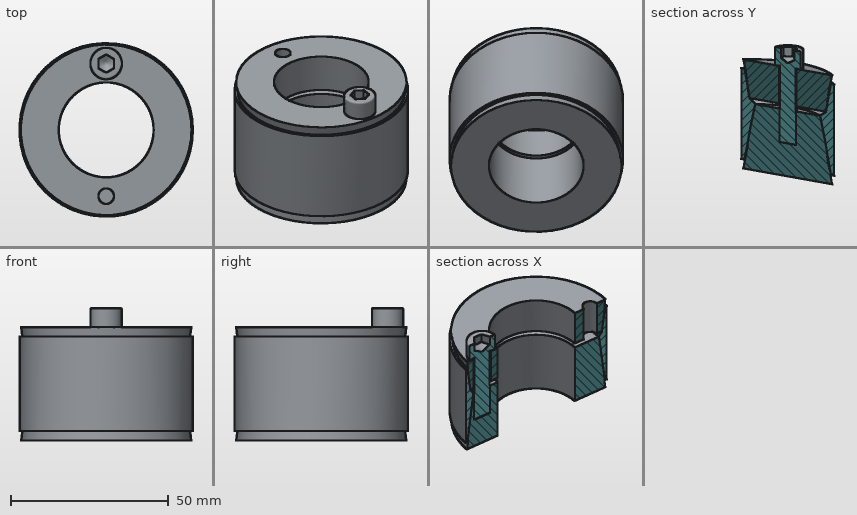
import cadquery as cq
import math

total_height = 36.0
bore_radius = 30.0 / 2

sleeve_radius = 55.0 / 2
ring_projection = 3.0
sleeve_bottom = ring_projection
sleeve_top = total_height - ring_projection

ring_rim_radius = 54.0 / 2
taper_angle = 7.0
taper_slope = math.tan(math.radians(taper_angle))
lower_ring_height = 22.0
ring_gap = 1.5
upper_ring_bottom = lower_ring_height + ring_gap

hole_offset = 21.0
clearance_diameter = 6.6
jacking_hole_diameter = 4.92
screw_diameter = 6.0
screw_length = 25.0
screw_tip = total_height - screw_length
head_diameter = 10.0
head_height = 6.0
head_top = total_height + head_height
head_fillet = 0.6
socket_width = 5.0
socket_corner_diameter = socket_width / math.cos(math.radians(30))
socket_depth = 3.0
socket_tip_angle = 120.0
socket_tip_depth = socket_corner_diameter / 2 / math.tan(math.radians(socket_tip_angle / 2))


def ring_radius(distance_from_rim):
    """Outer radius of a tapered ring, shrinking away from its exposed rim."""
    return ring_rim_radius - taper_slope * distance_from_rim


def lower_radius(z):
    """Outer radius of the lower ring at height z."""
    return ring_radius(z)


def upper_radius(z):
    """Outer radius of the upper ring at height z."""
    return ring_radius(total_height - z)


def revolve_profile(points):
    """Solid of revolution about Z from a closed (radius, z) outline."""
    return cq.Workplane("XZ").polyline(points).close().revolve(360, (0, 0, 0), (0, 1, 0))


def cylinder_at(y, diameter, bottom, top):
    """Vertical cylinder on the Y axis of the plan."""
    return cq.Workplane("XY", origin=(0, y, bottom)).circle(diameter / 2).extrude(top - bottom)


def make_sleeve():
    """Thin sleeve whose bore narrows from both ends to seat the tapered rings."""
    return revolve_profile([
        (sleeve_radius, sleeve_bottom),
        (sleeve_radius, sleeve_top),
        (upper_radius(sleeve_top), sleeve_top),
        (upper_radius(upper_ring_bottom), upper_ring_bottom),
        (lower_radius(lower_ring_height), lower_ring_height),
        (lower_radius(sleeve_bottom), sleeve_bottom),
    ])


def make_lower_ring():
    """Lower tapered ring with a blind hole that holds the screw's end."""
    ring = revolve_profile([
        (bore_radius, 0),
        (lower_radius(0), 0),
        (lower_radius(lower_ring_height), lower_ring_height),
        (bore_radius, lower_ring_height),
    ])
    return ring.cut(cylinder_at(hole_offset, screw_diameter, screw_tip, lower_ring_height))


def make_upper_ring():
    """Upper tapered ring with the screw clearance hole and the opposite jacking hole."""
    ring = revolve_profile([
        (bore_radius, upper_ring_bottom),
        (upper_radius(upper_ring_bottom), upper_ring_bottom),
        (upper_radius(total_height), total_height),
        (bore_radius, total_height),
    ])
    clearance_hole = cylinder_at(hole_offset, clearance_diameter, upper_ring_bottom, total_height)
    jacking_hole = cylinder_at(-hole_offset, jacking_hole_diameter, upper_ring_bottom, total_height)
    return ring.cut(clearance_hole).cut(jacking_hole)


def make_socket():
    """Hexagonal socket with corners toward +Y and -Y and a conical floor."""
    full_depth = socket_depth + socket_tip_depth
    hexagon = (
        cq.Workplane("XY", origin=(0, hole_offset, head_top))
        .transformed(rotate=(0, 0, 90))
        .polygon(6, socket_corner_diameter)
        .extrude(-full_depth)
    )
    pointed_cylinder = revolve_profile([
        (0, head_top),
        (socket_corner_diameter / 2, head_top),
        (socket_corner_diameter / 2, head_top - socket_depth),
        (0, head_top - full_depth),
    ]).translate((0, hole_offset, 0))
    return hexagon.intersect(pointed_cylinder)


def make_screw():
    """Socket head cap screw whose head rests on the upper ring."""
    head = cylinder_at(hole_offset, head_diameter, total_height, head_top)
    head = head.faces(">Z").edges().fillet(head_fillet)
    shank = cylinder_at(hole_offset, screw_diameter, screw_tip, total_height)
    return head.union(shank).cut(make_socket())


sleeve = make_sleeve()
lower_ring = make_lower_ring()
upper_ring = make_upper_ring()
screw = make_screw()

result = cq.Compound.makeCompound([
    sleeve.solids().val(),
    lower_ring.solids().val(),
    upper_ring.solids().val(),
    screw.solids().val(),
])